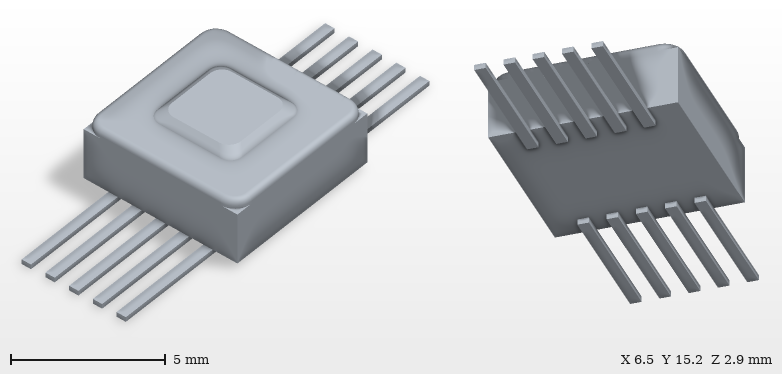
import cadquery as cq

span_y = 15.2
total_height = 2.9
package_side = 6.5

lead_thickness = 0.2
lead_width = 0.4
lead_pitch = 1.0
lead_length = 5.15
leads_per_side = 5

body_height = 2.1

lid_thickness = 0.35
lid_corner_radius = 0.7
lid_edge_fillet = 0.23

pad_base_side = 3.59
pad_top_side = 2.92
pad_corner_radius = 0.5

body_bottom = lead_thickness
body_top = body_bottom + body_height
lid_top = body_top + lid_thickness
pad_height = total_height - lid_top


def make_lead(x, side):
    """One lead; side is +1 for the +Y row and -1 for the -Y row."""
    center_y = side * (span_y - lead_length) / 2
    return (
        cq.Workplane("XY")
        .center(x, center_y)
        .rect(lead_width, lead_length)
        .extrude(lead_thickness)
    )


def make_base():
    """Square package body with both rows of leads attached to its underside."""
    base = (
        cq.Workplane("XY")
        .workplane(offset=body_bottom)
        .rect(package_side, package_side)
        .extrude(body_height)
    )
    for index in range(leads_per_side):
        x = (index - (leads_per_side - 1) / 2) * lead_pitch
        for side in (-1, 1):
            base = base.union(make_lead(x, side))
    return base


def make_lid():
    """Flat lid with rounded corners and a rounded upper edge."""
    return (
        cq.Workplane("XY")
        .workplane(offset=body_top)
        .rect(package_side, package_side)
        .extrude(lid_thickness)
        .edges("|Z")
        .fillet(lid_corner_radius)
        .faces(">Z")
        .edges()
        .fillet(lid_edge_fillet)
    )


def make_pad():
    """Tapered pad whose corner radius is the same at its foot and its top."""
    foot = cq.Sketch().rect(pad_base_side, pad_base_side).vertices().fillet(pad_corner_radius)
    top = cq.Sketch().rect(pad_top_side, pad_top_side).vertices().fillet(pad_corner_radius)
    return (
        cq.Workplane("XY")
        .workplane(offset=lid_top)
        .placeSketch(foot, top.moved(cq.Location(cq.Vector(0, 0, pad_height))))
        .loft(ruled=True)
    )


base = make_base()
lid = make_lid()
pad = make_pad()

result = cq.Compound.makeCompound([base.val(), lid.val(), pad.val()])